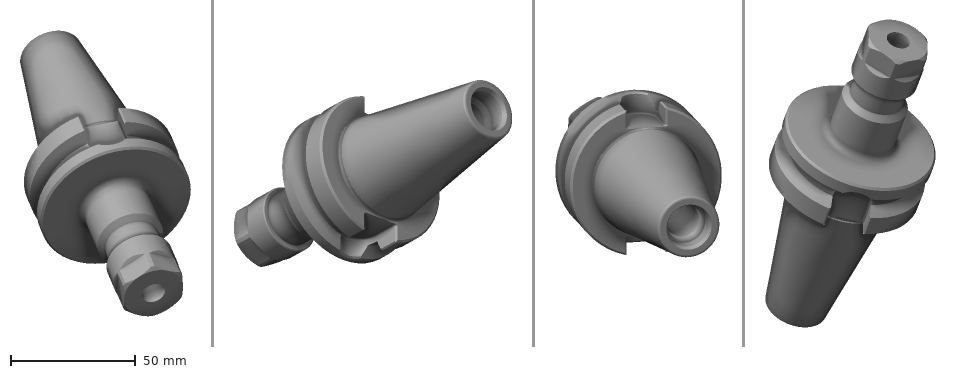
import cadquery as cq
import math


total_length = 144.6

gauge_x = 65.4
gauge_diameter = 44.4
taper_rate = 7 / 24
taper_end_round = 1.2
undercut_diameter = 43.7
undercut_round = 0.9

flange_start_x = 67.4
flange_end_x = 92.5
flange_diameter = 62.9
flange_chamfer = 0.9
groove_left_x = 76.8
groove_right_x = 86.6
groove_diameter = 53.0
groove_half_angle = 28.0

slot_width = 16.0
slot_floor_z = 22.4
slot_end_x = 88.2
slot_floor_round = 0.7
slot_edge_chamfer = 0.7
selection_margin = 0.07

nose_diameter = 27.5
nose_round = 3.0
nose_end_x = 112.0
neck_diameter = 22.5
neck_end_x = 133.8

pilot_diameter = 17.0
pilot_mouth_diameter = 18.8
pilot_end_x = 7.2
thread_bore_diameter = 13.9
thread_bore_end_x = 31.8
through_diameter = 9.7
pilot_mouth_depth = 1.9
relief_diameter = 17.6
relief_end_x = 9.1
relief_cone_half_angle = 45.0
drill_half_angle = 59.0

nut_start_x = 124.3
nut_diameter = 27.5
nut_back_chamfer = 0.5
nut_front_chamfer = 1.2
nut_front_face_diameter = 24.6
hex_count = 6
hex_width = 24.6
hex_start_x = 135.7


def axial_run(radial_rise, half_angle):
    """Length along X of a cone that changes its radius by radial_rise."""
    return radial_rise / math.tan(math.radians(half_angle))


def ring_x(profile):
    """Revolve an (x, radius) outline about the X axis."""
    return profile.close().revolve(360, (0, 0, 0), (1, 0, 0))


def holder_outside():
    taper_end_radius = gauge_diameter / 2 - gauge_x * taper_rate / 2
    undercut_radius = undercut_diameter / 2
    undercut_x = gauge_x + gauge_diameter / 2 - undercut_radius
    flange_radius = flange_diameter / 2
    groove_radius = groove_diameter / 2
    groove_run = (flange_radius - groove_radius) * math.tan(math.radians(groove_half_angle))
    nose_radius = nose_diameter / 2
    neck_radius = neck_diameter / 2
    neck_start_x = nose_end_x + nose_radius - neck_radius
    profile = (
        cq.Workplane("XY")
        .lineTo(0, taper_end_radius)
        .lineTo(gauge_x, gauge_diameter / 2)
        .lineTo(undercut_x, undercut_radius)
        .lineTo(flange_start_x - undercut_round, undercut_radius)
        .radiusArc((flange_start_x, undercut_radius + undercut_round), -undercut_round)
        .lineTo(flange_start_x, flange_radius - flange_chamfer)
        .lineTo(flange_start_x + flange_chamfer, flange_radius)
        .lineTo(groove_left_x, flange_radius)
        .lineTo(groove_left_x + groove_run, groove_radius)
        .lineTo(groove_right_x - groove_run, groove_radius)
        .lineTo(groove_right_x, flange_radius)
        .lineTo(flange_end_x - flange_chamfer, flange_radius)
        .lineTo(flange_end_x, flange_radius - flange_chamfer)
        .lineTo(flange_end_x, nose_radius + nose_round)
        .radiusArc((flange_end_x + nose_round, nose_radius), -nose_round)
        .lineTo(nose_end_x, nose_radius)
        .lineTo(neck_start_x, neck_radius)
        .lineTo(neck_end_x, neck_radius)
        .lineTo(neck_end_x, 0)
    )
    return ring_x(profile).faces("<X").edges().fillet(taper_end_round)


def holder_bore():
    pilot_radius = pilot_diameter / 2
    mouth_radius = pilot_mouth_diameter / 2
    thread_radius = thread_bore_diameter / 2
    through_radius = through_diameter / 2
    relief_radius = relief_diameter / 2
    thread_start_x = relief_end_x + axial_run(relief_radius - thread_radius, relief_cone_half_angle)
    drill_end_x = thread_bore_end_x + axial_run(thread_radius - through_radius, drill_half_angle)
    profile = (
        cq.Workplane("XY")
        .lineTo(0, mouth_radius)
        .lineTo(pilot_mouth_depth, pilot_radius)
        .lineTo(pilot_end_x, pilot_radius)
        .lineTo(pilot_end_x, relief_radius)
        .lineTo(relief_end_x, relief_radius)
        .lineTo(thread_start_x, thread_radius)
        .lineTo(thread_bore_end_x, thread_radius)
        .lineTo(drill_end_x, through_radius)
        .lineTo(neck_end_x, through_radius)
        .lineTo(neck_end_x, 0)
    )
    return ring_x(profile)


def drive_slot():
    """Slot cutter for the +Z side, with a flared mouth, rounded floor edges and a round end."""
    half_width = slot_width / 2
    mouth_half_width = half_width + slot_edge_chamfer
    mouth_end_x = flange_start_x + slot_edge_chamfer
    end_center_x = slot_end_x - half_width
    cutter = (
        cq.Workplane("XY", origin=(0, 0, slot_floor_z))
        .moveTo(gauge_x, -mouth_half_width)
        .lineTo(flange_start_x, -mouth_half_width)
        .lineTo(mouth_end_x, -half_width)
        .lineTo(end_center_x, -half_width)
        .threePointArc((slot_end_x, 0), (end_center_x, half_width))
        .lineTo(mouth_end_x, half_width)
        .lineTo(flange_start_x, mouth_half_width)
        .lineTo(gauge_x, mouth_half_width)
        .close()
        .extrude(flange_diameter / 2)
    )
    return cutter.edges("<Z and (not <X)").fillet(slot_floor_round)


def slot_rim(start_x, end_x, side):
    """Selects the slot edges on the flange rim between two X positions, on the +Z or -Z side."""
    half_width = slot_width / 2 + selection_margin
    return cq.selectors.BoxSelector(
        (start_x - selection_margin, -half_width, side * groove_diameter / 2),
        (end_x + selection_margin, half_width, side * flange_diameter),
        boundingbox=True,
    )


def make_holder():
    slot = drive_slot()
    body = holder_outside().cut(holder_bore())
    for angle in (0, 180):
        body = body.cut(slot.rotate((0, 0, 0), (1, 0, 0), angle))
    for side in (1, -1):
        front_rim = slot_rim(flange_start_x, groove_left_x, side)
        rear_rim = slot_rim(groove_right_x, slot_end_x, side)
        body = body.edges(front_rim + rear_rim).chamfer(slot_edge_chamfer)
    return body


def hex_flat_cutter():
    """Removes the material outside the flat on the +Z side; its inner end slopes at 45 degrees."""
    flat_z = hex_width / 2
    top_z = nut_diameter
    return (
        cq.Workplane("XZ")
        .moveTo(hex_start_x, flat_z)
        .lineTo(total_length, flat_z)
        .lineTo(total_length, top_z)
        .lineTo(hex_start_x - (top_z - flat_z), top_z)
        .close()
        .extrude(nut_diameter / 2, both=True)
    )


def make_nut():
    nut = cq.Workplane("YZ", origin=(nut_start_x, 0, 0)).circle(nut_diameter / 2)
    nut = nut.extrude(total_length - nut_start_x)
    nut = nut.faces("<X").chamfer(nut_back_chamfer)
    face_step = (nut_diameter - nut_front_face_diameter) / 2
    nut = nut.faces(">X").chamfer(nut_front_chamfer, face_step)
    for index in range(hex_count):
        angle = 30 + index * 360 / hex_count
        nut = nut.cut(hex_flat_cutter().rotate((0, 0, 0), (1, 0, 0), angle))
    neck = cq.Workplane("YZ", origin=(nut_start_x, 0, 0)).circle(neck_diameter / 2)
    neck = neck.extrude(neck_end_x - nut_start_x)
    bore = cq.Workplane("YZ", origin=(nut_start_x, 0, 0)).circle(through_diameter / 2)
    return nut.cut(neck).cut(bore.extrude(total_length))


holder = make_holder()
nut = make_nut()
result = cq.Compound.makeCompound([holder.val(), nut.val()])